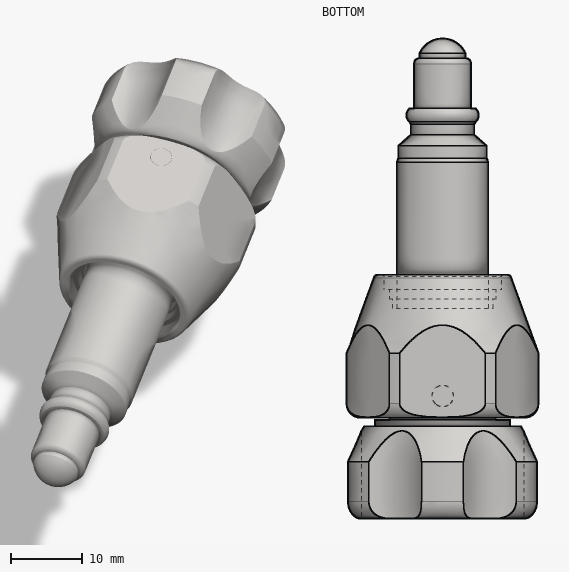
import cadquery as cq
import math

total_length = 67.5

tip_diameter = 6.5
dome_height = 2.1
tip_end = 2.8
pilot_diameter = 8.0
bead_diameter = 10.2
bead_root_diameter = 9.3
bead_start = 9.85
bead_end = 11.75
bead_shoulder_end = 12.1
waist_diameter = 9.0
waist_end = 13.55
collar_diameter = 12.5
collar_start = 15.1
collar_end = 16.9
shaft_diameter = 12.9
shaft_start = 17.4

sleeve_start = 33.2
sleeve_end = 53.3
sleeve_diameter = 27.0
sleeve_across_flats = 24.15
sleeve_back_fillet = 2.0
sleeve_cone_end = 44.2
sleeve_nose_diameter = 19.0
sleeve_nose_fillet = 0.6

mouth_diameter = 16.9
bore_diameter = 16.5
mouth_chamfer = (mouth_diameter - bore_diameter) / 2
bore_depth = 2.0
inner_bore_diameter = 15.0
inner_bore_depth = 3.4
bottom_bore_diameter = 14.2
bottom_bore_depth = 4.7

pin_diameter = 3.0
pin_hole_diameter = 3.05
pin_depth = 0.7
pin_position = 50.2

neck_diameter = 15.0
knob_collar_diameter = 19.0
knob_collar_start = 53.6
knob_start = 54.45
knob_cone_end = 59.45
knob_diameter = 27.95
knob_nose_diameter = 22.0
knob_back_fillet = 2.4
flute_count = 6
flute_diameter = 11.55
flute_floor_radius = 11.4


def revolve_about_y(profile):
    """Turn a closed half profile in the XY plane into a solid."""
    return profile.close().revolve(360, (0, 0, 0), (0, 1, 0))


def cylinder_along_y(diameter, start, length):
    plane = cq.Plane(origin=(0, start, 0), xDir=(1, 0, 0), normal=(0, 1, 0))
    return cq.Workplane(plane).circle(diameter / 2).extrude(length)


def make_stem():
    tip_radius = tip_diameter / 2
    dome_radius = (tip_radius**2 + dome_height**2) / (2 * dome_height)
    half_angle = math.asin(tip_radius / dome_radius) / 2
    dome_middle = (dome_radius * math.sin(half_angle), dome_radius * (1 - math.cos(half_angle)))
    pilot_radius = pilot_diameter / 2
    rounding = pilot_radius - tip_radius
    rounding_middle = (
        tip_radius + rounding * math.sin(math.pi / 4),
        tip_end + rounding * (1 - math.cos(math.pi / 4)),
    )
    bead_root_radius = bead_root_diameter / 2
    waist_radius = waist_diameter / 2
    shaft_radius = shaft_diameter / 2
    profile = (
        cq.Workplane("XY")
        .moveTo(0, 0)
        .threePointArc(dome_middle, (tip_radius, dome_height))
        .lineTo(tip_radius, tip_end)
        .threePointArc(rounding_middle, (pilot_radius, tip_end + rounding))
        .lineTo(pilot_radius, bead_start)
        .lineTo(bead_root_radius, bead_start)
        .threePointArc((bead_diameter / 2, (bead_start + bead_end) / 2), (bead_root_radius, bead_end))
        .lineTo(waist_radius, bead_shoulder_end)
        .lineTo(waist_radius, waist_end)
        .lineTo(collar_diameter / 2, collar_start)
        .lineTo(collar_diameter / 2, collar_end)
        .lineTo(shaft_radius, shaft_start)
        .lineTo(shaft_radius, knob_start)
        .lineTo(0, knob_start)
    )
    return revolve_about_y(profile)


def make_sleeve():
    turned = revolve_about_y(
        cq.Workplane("XY")
        .moveTo(0, sleeve_start)
        .lineTo(sleeve_nose_diameter / 2, sleeve_start)
        .lineTo(sleeve_diameter / 2, sleeve_cone_end)
        .lineTo(sleeve_diameter / 2, sleeve_end)
        .lineTo(0, sleeve_end)
    )
    turned = turned.faces(">Y").edges().fillet(sleeve_back_fillet)
    turned = turned.faces("<Y").edges().fillet(sleeve_nose_fillet)

    corner_diameter = sleeve_across_flats / math.cos(math.pi / 6)
    plane = cq.Plane(origin=(0, sleeve_start, 0), xDir=(1, 0, 0), normal=(0, 1, 0))
    hexagon = cq.Workplane(plane).polygon(6, corner_diameter).extrude(sleeve_end - sleeve_start)
    sleeve = turned.intersect(hexagon)

    for diameter, depth in (
        (bore_diameter, bore_depth),
        (inner_bore_diameter, inner_bore_depth),
        (bottom_bore_diameter, bottom_bore_depth),
    ):
        sleeve = sleeve.cut(cylinder_along_y(diameter, sleeve_start, depth))
    mouth = revolve_about_y(
        cq.Workplane("XY")
        .moveTo(0, sleeve_start)
        .lineTo(mouth_diameter / 2, sleeve_start)
        .lineTo(bore_diameter / 2, sleeve_start + mouth_chamfer)
        .lineTo(0, sleeve_start + mouth_chamfer)
    )
    sleeve = sleeve.cut(mouth)

    pin_clearance = (
        cq.Workplane("XY", origin=(0, pin_position, sleeve_across_flats / 2))
        .circle(pin_hole_diameter / 2)
        .circle(pin_diameter / 2)
        .extrude(-pin_depth)
    )
    return sleeve.cut(pin_clearance)


def make_knob():
    knob = revolve_about_y(
        cq.Workplane("XY")
        .moveTo(0, knob_start)
        .lineTo(knob_nose_diameter / 2, knob_start)
        .lineTo(knob_diameter / 2, knob_cone_end)
        .lineTo(knob_diameter / 2, total_length)
        .lineTo(0, total_length)
    )
    knob = knob.faces(">Y").edges().fillet(knob_back_fillet)

    flute = cylinder_along_y(flute_diameter, knob_start, total_length - knob_start)
    flute = flute.translate((flute_floor_radius + flute_diameter / 2, 0, 0))
    for index in range(flute_count):
        knob = knob.cut(flute.rotate((0, 0, 0), (0, 1, 0), index * 360 / flute_count))
    return knob


neck = cylinder_along_y(neck_diameter, sleeve_end, knob_start - sleeve_end)
knob_collar = cylinder_along_y(knob_collar_diameter, knob_collar_start, knob_start - knob_collar_start)

result = make_stem().union(make_sleeve()).union(neck).union(knob_collar).union(make_knob())